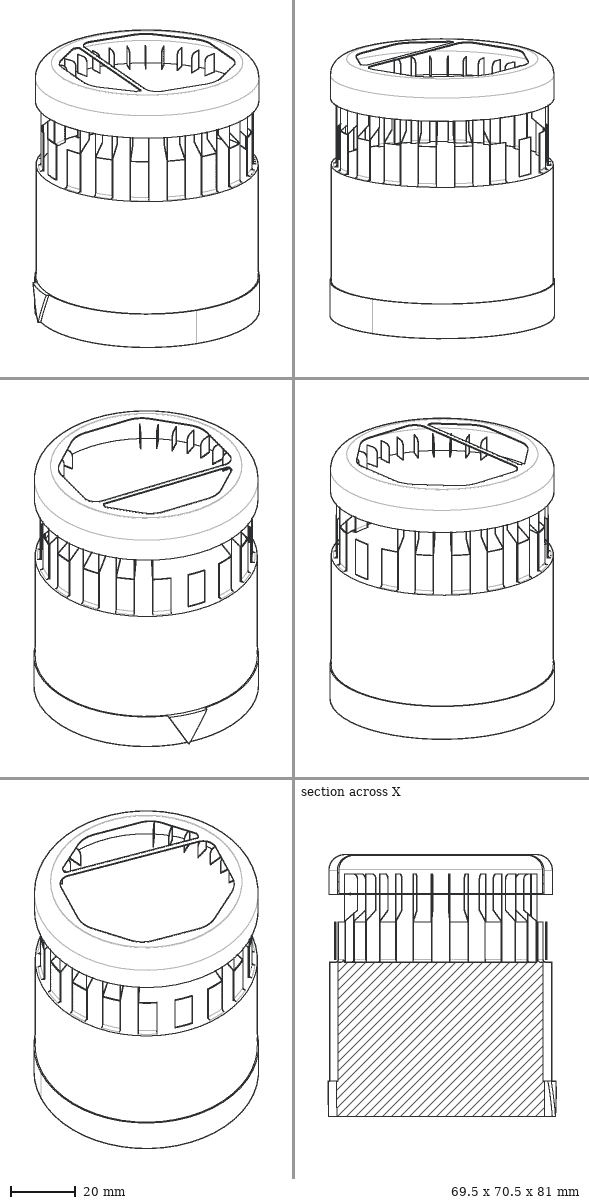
import cadquery as cq
import math

foot_radius = 34.75
foot_height = 10.9
base_radius = 34.35
base_top = 47.7

pointer_radius = 35.7
pointer_tip_x = -4.2
pointer_half_width = 6.2
pointer_tip_half_width = 0.1

total_height = 81.0
cap_radius = 34.6
cap_bottom = 68.6
cap_rounding = 5.0
cap_wall = 0.65
cap_roof = 0.3
cap_floor = 0.3

corner_reach = 36.8
corner_rounding = 8.9
large_half_width = 25.5
large_front_y = -11.0
large_back_y = 25.5
large_front_rounding = 4.05
small_half_width = 22.2
small_front_y = -25.4
small_back_y = -12.6
small_back_rounding = 0.65

vane_count = 18
vane_pitch = 360 / vane_count
vane_half_angle = vane_pitch / 4
vane_outer_radius = 32.8
vane_thickness = 0.3
vane_inner_radius = vane_outer_radius - vane_thickness
vane_bottom = 48.5
vane_top = 60.2
foot_fillet = vane_bottom - base_top

rib_thickness = 0.2
rib_top = 75.0
rib_top_rounding = 1.6
rib_inner_radius = 28.35
rib_taper_top = 63.75
rib_taper_bottom = 60.5
rib_free_angle = vane_pitch

front_angle = -90
back_angle = 90


def cylinder(radius, bottom, top):
    return cq.Workplane("XY").workplane(offset=bottom).circle(radius).extrude(top - bottom)


def sector(inner_radius, outer_radius, bottom, top, angle):
    """Curved plate spanning one vane width around the given direction."""
    def at(radius, offset):
        turn = math.radians(angle + offset)
        return (radius * math.cos(turn), radius * math.sin(turn))

    half = vane_half_angle
    outline = (
        cq.Workplane("XY")
        .workplane(offset=bottom)
        .moveTo(*at(inner_radius, -half))
        .lineTo(*at(outer_radius, -half))
        .threePointArc(at(outer_radius, 0), at(outer_radius, half))
        .lineTo(*at(inner_radius, half))
        .threePointArc(at(inner_radius, 0), at(inner_radius, -half))
        .close()
    )
    return outline.extrude(top - bottom)


def is_near_front_or_back(angle):
    """True within the rib-free stretch around either the front or the back."""
    return abs(math.cos(math.radians(angle))) < math.sin(math.radians(rib_free_angle))


def make_pointer():
    triangle = (
        cq.Workplane("XZ")
        .moveTo(pointer_tip_x - pointer_tip_half_width, 0)
        .lineTo(pointer_tip_x + pointer_tip_half_width, 0)
        .lineTo(pointer_tip_x + pointer_half_width, foot_height)
        .lineTo(pointer_tip_x - pointer_half_width, foot_height)
        .close()
        .extrude(pointer_radius)
    )
    return triangle.intersect(cylinder(pointer_radius, 0, foot_height))


def make_base():
    foot = cylinder(foot_radius, 0, foot_height)
    drum = cylinder(base_radius, 0, base_top)
    return foot.union(drum).union(make_pointer())


def window(half_width, front_y, back_y):
    """Prism with 45 degree corners, cut from a rectangle by a turned square."""
    block = (
        cq.Workplane("XY")
        .workplane(offset=cap_bottom + cap_floor)
        .center(0, (front_y + back_y) / 2)
        .rect(2 * half_width, back_y - front_y)
        .extrude(total_height - cap_bottom - cap_floor)
    )
    diamond = (
        cq.Workplane("XY")
        .workplane(offset=cap_bottom + cap_floor)
        .polygon(4, 2 * corner_reach)
        .extrude(total_height - cap_bottom - cap_floor)
    )
    return block.intersect(diamond)


def make_windows():
    large = window(large_half_width, large_front_y, large_back_y)
    large = large.edges("|Z and <Y").fillet(large_front_rounding)
    large = large.edges(cq.selectors.BoxSelector(
        (-cap_radius, 0, cap_bottom), (cap_radius, cap_radius, total_height)
    )).edges("|Z").fillet(corner_rounding)

    small = window(small_half_width, small_front_y, small_back_y)
    small = small.edges("|Z and <Y").fillet(corner_rounding)
    small = small.edges("|Z and >Y").fillet(small_back_rounding)
    return large.union(small)


def rounded_drum(radius, bottom, top, rounding):
    return cylinder(radius, bottom, top).faces(">Z").edges().fillet(rounding)


def make_cap():
    outside = rounded_drum(cap_radius, cap_bottom, total_height, cap_rounding)
    inside = rounded_drum(
        cap_radius - cap_wall, cap_bottom + cap_floor, total_height - cap_roof, cap_rounding - cap_wall
    )
    return outside.cut(inside).cut(make_windows())


def make_rib(angle):
    """Radial rib from the base up through the cap floor, widening above the vane."""
    rib = (
        cq.Workplane("XZ")
        .moveTo(vane_inner_radius, base_top)
        .lineTo(vane_outer_radius, base_top)
        .lineTo(vane_outer_radius, rib_top)
        .lineTo(rib_inner_radius, rib_top)
        .lineTo(rib_inner_radius, rib_taper_top)
        .lineTo(vane_inner_radius, rib_taper_bottom)
        .close()
        .extrude(rib_thickness / 2, both=True)
    )
    rib = rib.edges("|Y").edges(">Z").edges("<X").fillet(rib_top_rounding)
    return rib.rotate((0, 0, 0), (0, 0, 1), angle)


def make_vane(angle):
    return sector(vane_inner_radius, vane_outer_radius, vane_bottom, vane_top, angle)


def make_vane_foot(angle):
    """Strip under a vane, flaring outwards with a concave fillet onto the base."""
    outer = vane_outer_radius + foot_fillet
    flare = (
        cq.Workplane("XZ")
        .moveTo(vane_inner_radius, base_top)
        .lineTo(outer, base_top)
        .radiusArc((vane_outer_radius, vane_bottom), foot_fillet)
        .lineTo(vane_inner_radius, vane_bottom)
        .close()
        .revolve(2 * vane_half_angle, (0, 0), (0, 1))
    )
    return flare.rotate((0, 0, 0), (0, 0, 1), angle - vane_half_angle)


def make_housing():
    housing = make_base().union(make_cap())
    for index in range(vane_count):
        angle = front_angle + index * vane_pitch
        for edge_angle in (angle - vane_half_angle, angle + vane_half_angle):
            if not is_near_front_or_back(edge_angle):
                housing = housing.union(make_rib(edge_angle))
        if angle not in (front_angle, back_angle):
            housing = housing.union(make_vane(angle)).union(make_vane_foot(angle))
    return housing


housing = make_housing()
loose_vanes = [make_vane(angle) for angle in (front_angle, back_angle)]

result = cq.Compound.makeCompound([housing.val(), *[vane.val() for vane in loose_vanes]])